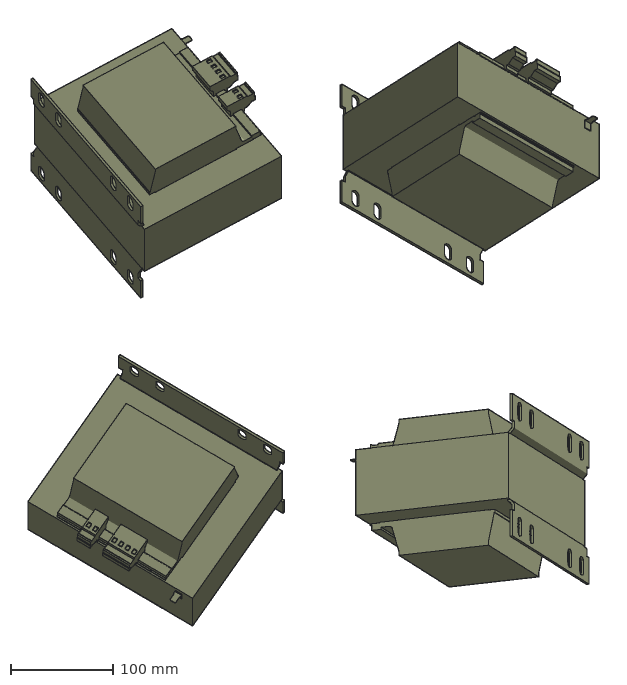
import cadquery as cq


WIDTH = 192.0
CORE_HEIGHT = 66.8
CORE_BACK = 167.0
HALF_CORE = CORE_HEIGHT / 2
WINDOW_WIDTH = 127.5
WINDOW_FRONT = 39.4
WINDOW_BACK = 135.4

BRACKET_HEIGHT = 145.0
SHEET = 2.7
WEB_FRONT = 4.5
BEND_START = 38.0
BEND_OUTER_RADIUS = 3.5
BEND_INNER_RADIUS = BEND_OUTER_RADIUS - SHEET
NOTCH_DEPTH = 4.6
NOTCH_TOP = 45.5
SLOT_WIDTH = 9.5
SLOT_LENGTH = 18.6
SLOT_HEIGHT = 58.5
SLOT_OFFSETS = (47.8, 77.5)
WEB_BACK = WEB_FRONT + SHEET

COIL_HEIGHT = 138.5
COIL_FRONT = 39.5
COIL_BACK = 135.0
BOBBIN_WIDTH = 126.3
BOBBIN_FRONT = 32.8
BOBBIN_TOP = 65.3
BOBBIN_FOOT_HEIGHT = 36.5
BOBBIN_FOOT_LEDGE = 0.5
TROUGH_FRONT = 142.7
TROUGH_HEIGHT = 38.5
TROUGH_FILLET = 3.8
RAIL_FRONT = 153.8
RAIL_BACK = 164.0
RAIL_HEIGHT = 40.7
LIP_FRONT = 156.0
LIP_BACK = 165.5
LIP_STEP = 2.0
LIP_GAP = 0.5

TERMINAL_WIDTH = 15.4
TERMINAL_CENTERS = (-22.7, -7.3, 22.7)
TERMINAL_TOP = 57.0
TERMINAL_FRONT = 146.9
TERMINAL_NOSE_BOTTOM = 51.5
TERMINAL_LEG_FRONT = 151.0
TERMINAL_LEG_TOP = 45.9
GROOVE_FRONT = 170.3
GROOVE_BACK = 177.8
GROOVE_FLOOR = 55.7
GROOVE_FLOOR_FRONT = 171.5
GROOVE_FLOOR_BACK = 177.0
TERMINAL_RIM = 56.5
RIM_BACK = 179.3
TERMINAL_BACK = 180.3
BACK_TOP = 50.3
BACK_BOTTOM = 44.2
CHIN_BACK = 176.0
CHIN_FRONT = 170.3
CHIN_BOTTOM = 39.5
HOOK_BACK = 167.6
POCKET_WIDTH = 3.6
POCKET_LENGTH = 4.8
POCKET_Y = 164.5
POCKET_DEPTH = 2.0
POCKET_OFFSET = 3.8

TAB_X = -79.9
TAB_WIDTH = 6.5
TAB_ROOT_WIDTH = 7.9
TAB_SHEET = 0.8
TAB_TOP = 27.8
TAB_FOOT = 18.5
TAB_SHOULDER = 170.9
TAB_TIP = 178.4
TAB_CHAMFER = 0.8


def box(x_size, y_range, z_range):
    """Block centred on X between two Y and two Z values."""
    (y0, y1), (z0, z1) = y_range, z_range
    return cq.Workplane("XY").box(x_size, y1 - y0, z1 - z0).translate((0, (y0 + y1) / 2, (z0 + z1) / 2))


def extrude_side(profile, width, center_x=0.0):
    """Extrude a closed (Y, Z) profile symmetrically about center_x."""
    side = cq.Workplane("YZ").polyline(profile).close().extrude(width / 2, both=True)
    return side.translate((center_x, 0, 0))


def both_halves(upper):
    """Join an upper half with its mirror image below Z = 0."""
    return upper.union(upper.mirror("XY"))


def make_core():
    """Laminated block with a window slightly wider than the bobbin."""
    z_range = (-HALF_CORE, HALF_CORE)
    block = box(WIDTH, (WEB_FRONT, CORE_BACK), z_range)
    return block.cut(box(WINDOW_WIDTH, (WINDOW_FRONT, WINDOW_BACK), z_range))


def round_edge(body, y, z, radius):
    """Fillet the edge that runs along X through the point (y, z)."""
    return body.edges("|X").edges(cq.NearestToPointSelector((0, y, z))).fillet(radius)


def make_bracket():
    """Sheet web across the core front with a joggled, slotted flange above and below."""
    top = BRACKET_HEIGHT / 2
    web_corner = BEND_START - WEB_FRONT
    offset = SHEET * (2 ** 0.5 - 1)
    profile = [
        (WEB_FRONT, 0),
        (WEB_FRONT, web_corner),
        (0, BEND_START),
        (0, top),
        (SHEET, top),
        (SHEET, BEND_START + offset),
        (WEB_BACK, web_corner + offset),
        (WEB_BACK, 0),
    ]
    half = extrude_side(profile, WIDTH)

    half = round_edge(half, 0, BEND_START, BEND_OUTER_RADIUS)
    half = round_edge(half, SHEET, BEND_START + offset, BEND_INNER_RADIUS)

    notch = box(NOTCH_DEPTH * 2, (0, WEB_BACK), (HALF_CORE, NOTCH_TOP))
    for side in (-1, 1):
        half = half.cut(notch.translate((side * WIDTH / 2, 0, 0)))
    slots = (
        cq.Workplane("XZ")
        .pushPoints([(side * x, SLOT_HEIGHT) for x in SLOT_OFFSETS for side in (-1, 1)])
        .slot2D(SLOT_LENGTH, SLOT_WIDTH, 90)
        .extrude(SHEET, both=True)
    )
    return both_halves(half.cut(slots))


def make_bobbin():
    """Coil and tapered former with a trough and a terminal rail at the back."""
    profile = [
        (BOBBIN_FRONT, 0),
        (BOBBIN_FRONT, BOBBIN_FOOT_HEIGHT),
        (BOBBIN_FRONT + BOBBIN_FOOT_LEDGE, BOBBIN_FOOT_HEIGHT),
        (COIL_FRONT, BOBBIN_TOP),
        (COIL_FRONT, COIL_HEIGHT / 2),
        (COIL_BACK, COIL_HEIGHT / 2),
        (COIL_BACK, BOBBIN_TOP),
        (TROUGH_FRONT, TROUGH_HEIGHT),
        (RAIL_FRONT, TROUGH_HEIGHT),
        (RAIL_FRONT, RAIL_HEIGHT),
        (RAIL_BACK, RAIL_HEIGHT),
        (RAIL_BACK, HALF_CORE + LIP_STEP),
        (LIP_BACK, HALF_CORE + LIP_STEP),
        (LIP_BACK, 0),
    ]
    half = extrude_side(profile, BOBBIN_WIDTH)
    half = round_edge(half, TROUGH_FRONT, TROUGH_HEIGHT, TROUGH_FILLET)
    gap = box(BOBBIN_WIDTH, (LIP_FRONT, LIP_BACK), (HALF_CORE, HALF_CORE + LIP_GAP))
    return both_halves(half.cut(gap))


def make_terminal(center_x):
    """Two-pole terminal block clipped over the upper rail."""
    hook_bottom = HALF_CORE + LIP_STEP
    profile = [
        (RAIL_FRONT, TROUGH_HEIGHT),
        (TERMINAL_LEG_FRONT, TROUGH_HEIGHT),
        (TERMINAL_LEG_FRONT, TERMINAL_LEG_TOP),
        (TERMINAL_FRONT, TERMINAL_NOSE_BOTTOM),
        (TERMINAL_FRONT, TERMINAL_TOP),
        (GROOVE_FRONT, TERMINAL_TOP),
        (GROOVE_FLOOR_FRONT, GROOVE_FLOOR),
        (GROOVE_FLOOR_BACK, GROOVE_FLOOR),
        (GROOVE_BACK, TERMINAL_RIM),
        (RIM_BACK, TERMINAL_RIM),
        (RIM_BACK, BACK_TOP),
        (TERMINAL_BACK, BACK_TOP),
        (TERMINAL_BACK, BACK_BOTTOM),
        (CHIN_BACK, BACK_BOTTOM),
        (CHIN_FRONT, CHIN_BOTTOM),
        (HOOK_BACK, CHIN_BOTTOM),
        (HOOK_BACK, hook_bottom),
        (RAIL_FRONT, hook_bottom),
    ]
    body = extrude_side(profile, TERMINAL_WIDTH, center_x)
    pockets = (
        cq.Workplane("XY", origin=(center_x, POCKET_Y, TERMINAL_TOP))
        .pushPoints([(-POCKET_OFFSET, 0), (POCKET_OFFSET, 0)])
        .rect(POCKET_WIDTH, POCKET_LENGTH)
        .extrude(-POCKET_DEPTH)
    )
    return body.cut(pockets)


def make_earth_tab():
    """Bent flat-blade tab on the back of the core."""
    foot = box(TAB_ROOT_WIDTH, (CORE_BACK, CORE_BACK + TAB_SHEET), (TAB_FOOT, TAB_TOP))
    z_range = (TAB_TOP - TAB_SHEET, TAB_TOP)
    root = box(TAB_ROOT_WIDTH, (CORE_BACK, TAB_SHOULDER), z_range)
    blade = box(TAB_WIDTH, (CORE_BACK, TAB_TIP), z_range).edges("|Z and >Y").chamfer(TAB_CHAMFER)
    return foot.union(root).union(blade).translate((TAB_X, 0, 0))


result = make_core().union(make_bracket())
result = result.union(make_bobbin())
for terminal_x in TERMINAL_CENTERS:
    result = result.union(make_terminal(terminal_x))
result = result.union(make_earth_tab())